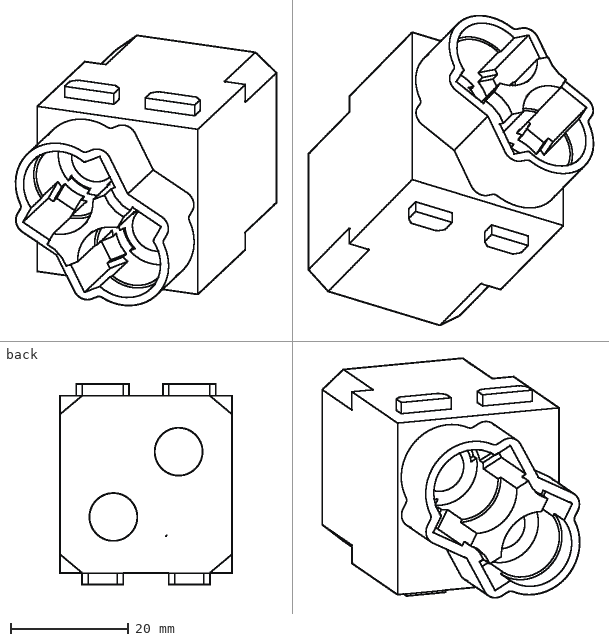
import cadquery as cq
import math

length = 52.0
web_protrusion = 3.1
shell_length = 11.95
body_front = web_protrusion + shell_length

body_width = 29.4
body_height = 30.25
corner_cut_x = 3.85
corner_cut_z = 3.2
corner_cut_length = 14.55

tab_height = 2.0
tab_depth = 3.55
tab_chamfer = 1.05
tab_setback = 5.65
tab_spacing = 14.75
top_tab_width = 9.05
bottom_tab_width = 7.05

bore_offset = 5.55
through_diameter = 8.1
seat_diameter = 13.0
socket_diameter = 13.95
shell_diameter = 16.9
socket_floor = 7.9
seat_floor = 18.2

slot_angle = 28.0
slot_reach = 9.45
slot_width = 6.0
key_width = 3.95
key_inner_radius = 5.45
slot_floor = body_front
key_shelf = 16.65
key_pocket_floor = 19.75
lobe_reach = 11.15
lobe_half_width = 4.5
lobe_corner_radius = 2.35
lobe_blend_radius = 1.0

web_reach = 8.7
web_tip_distance = 6.95

bore_centers = [(-bore_offset, bore_offset), (bore_offset, -bore_offset)]

slot_cos = math.cos(math.radians(slot_angle))
slot_sin = math.sin(math.radians(slot_angle))
waist_offset = (lobe_reach - bore_offset * (slot_cos - slot_sin)) / (slot_cos + slot_sin)
lobe_inner_width = (waist_offset + bore_offset) * slot_sin - (waist_offset - bore_offset) * slot_cos


def front_plane(y):
    """Sketch plane facing the front (local axes X and Z) at station y."""
    return cq.Workplane("XZ", origin=(0, y, 0))


def prism(sketch, depth):
    """Extrude a sketch on a front plane towards the back."""
    return sketch.extrude(-depth)


def discs(diameter, y_start, y_end):
    """Cylinders on both bore axes."""
    sketch = front_plane(y_start).pushPoints(bore_centers).circle(diameter / 2)
    return prism(sketch, y_end - y_start)


def at_every_slot(feature):
    """Copy a feature made along +X about the Y axis to all four slot positions."""
    upper = feature.rotate((0, 0, 0), (0, 1, 0), -slot_angle)
    upper = upper.translate((-bore_offset, 0, bore_offset))
    half_turn = upper.rotate((0, 0, 0), (0, 1, 0), 180)
    pair = upper.union(half_turn)
    return pair.union(pair.rotate((0, 0, 0), (0, 1, 0), 90).mirror("YZ"))


def radial_bar(width, reach, y_start, y_end):
    """Bar from a bore axis outwards along +X."""
    sketch = front_plane(y_start).center(reach / 2, 0).rect(reach, width)
    return prism(sketch, y_end - y_start)


def make_body():
    body = cq.Workplane("XY").box(body_width, length - body_front, body_height)
    body = body.translate((0, (length + body_front) / 2, 0))
    corner = prism(
        front_plane(length - corner_cut_length).polyline([
            (body_width / 2, body_height / 2),
            (body_width / 2 - corner_cut_x, body_height / 2),
            (body_width / 2, body_height / 2 - corner_cut_z),
        ]).close(),
        corner_cut_length,
    )
    corners = corner.union(corner.mirror("YZ"))
    return body.cut(corners).cut(corners.mirror("XY"))


def make_tabs(width, z_base):
    sketch_plane = cq.Workplane("XY", origin=(0, body_front + tab_setback + tab_depth / 2, z_base))
    tabs = sketch_plane.pushPoints([(-tab_spacing / 2, 0), (tab_spacing / 2, 0)])
    tabs = tabs.rect(width, tab_depth).extrude(tab_height)
    return tabs.faces(">Y").edges("|Z").chamfer(tab_chamfer)


def make_shell():
    lobe = prism(
        front_plane(web_protrusion).polyline([
            (0, lobe_half_width),
            (lobe_reach, lobe_half_width),
            (lobe_reach, -lobe_inner_width),
            (0, -lobe_inner_width),
        ]).close(),
        shell_length,
    )
    lobe = lobe.edges("|Y and >X and >Z").fillet(lobe_corner_radius)
    waist = prism(
        front_plane(web_protrusion).polyline([
            bore_centers[0],
            (waist_offset, waist_offset),
            bore_centers[1],
            (-waist_offset, -waist_offset),
        ]).close(),
        shell_length,
    )
    shell = discs(shell_diameter, web_protrusion, body_front).union(waist)
    shell = shell.union(at_every_slot(lobe))
    valley_reach = math.sqrt((shell_diameter / 2) ** 2 - lobe_half_width ** 2)
    valley_x = -bore_offset + valley_reach * slot_cos - lobe_half_width * slot_sin
    valley_z = bore_offset + valley_reach * slot_sin + lobe_half_width * slot_cos
    middle = web_protrusion + shell_length / 2
    for x, z in [
        (valley_x, valley_z),
        (valley_z, valley_x),
        (-valley_x, -valley_z),
        (-valley_z, -valley_x),
    ]:
        edge = cq.selectors.NearestToPointSelector((x, middle, z))
        shell = shell.edges("|Y").edges(edge).fillet(lobe_blend_radius)
    return shell


def make_web():
    """Web between the sockets, standing out beyond the shell, with a blunt tip at each end."""
    flank_x = -bore_offset + web_reach * slot_cos
    flank_z = bore_offset + web_reach * slot_sin
    tip_sum = web_tip_distance * math.sqrt(2)
    tip_x = (web_reach - tip_sum * slot_sin) / (slot_cos - slot_sin) - bore_offset
    tip_z = tip_sum - tip_x
    half_outline = [
        bore_centers[0],
        (flank_x, flank_z),
        (tip_x, tip_z),
        (tip_z, tip_x),
        (flank_z, flank_x),
    ]
    outline = half_outline + [(-x, -z) for x, z in half_outline]
    return prism(front_plane(0).polyline(outline).close(), body_front)


def key_recess(inner_radius, y_start, y_end):
    """Recess of key width in the floor of a slot, rounded about the bore axis at its inner end."""
    recess = radial_bar(key_width, slot_reach, y_start, y_end)
    return recess.cut(prism(front_plane(y_start).circle(inner_radius), y_end - y_start))


result = make_body()
result = result.union(make_tabs(top_tab_width, body_height / 2))
result = result.union(make_tabs(bottom_tab_width, -body_height / 2 - tab_height))
result = result.union(make_shell())
result = result.union(make_web())

result = result.cut(discs(socket_diameter, 0, socket_floor))
result = result.cut(discs(seat_diameter, 0, seat_floor))
result = result.cut(discs(through_diameter, 0, length))

result = result.cut(at_every_slot(radial_bar(slot_width, slot_reach, 0, slot_floor)))
result = result.cut(at_every_slot(key_recess(seat_diameter / 2, slot_floor, key_shelf)))
key_pocket = key_recess(key_inner_radius, seat_floor, key_pocket_floor)
key_pocket = key_pocket.intersect(prism(front_plane(0).circle(seat_diameter / 2), length))
result = result.cut(at_every_slot(key_pocket))